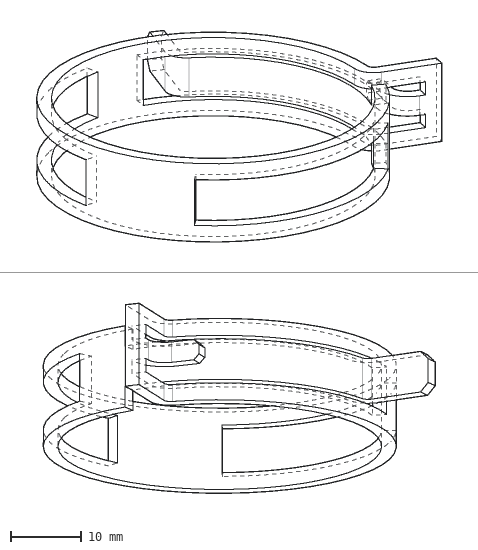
import cadquery as cq
import math


outer_radius = 25.1
thickness = 2.1
inner_radius = outer_radius - thickness
band_height = 12.0

end_angle = 38.3
window_end_angle = 18.3
window_front_angle = -70.0

slot_height = 7.0
tongue_height = 6.0

bend_start_angle = 55.3
tab_angle = 48.0
bend_radius = 1.0
tab_length = 9.2
slot_end_margin = 2.5
tongue_chamfer = 1.25

hook_width = 3.0
hook_bend_radius = 2.5
hook_bend_start = 3.4
hook_reach = 6.775
hook_chamfer = 0.8


def polar(radius, angle, center=(0.0, 0.0)):
    """Point at a radius and an angle in degrees around a center."""
    a = math.radians(angle)
    return (center[0] + radius * math.cos(a), center[1] + radius * math.sin(a))


def extrude_centered(sketch, height):
    return sketch.extrude(height / 2, both=True)


def ring_sector(start, end, height):
    """Piece of the ring running counterclockwise from start to end."""
    middle = (start + end) / 2
    sketch = (
        cq.Workplane("XY")
        .moveTo(*polar(outer_radius, start))
        .threePointArc(polar(outer_radius, middle), polar(outer_radius, end))
        .lineTo(*polar(inner_radius, end))
        .threePointArc(polar(inner_radius, middle), polar(inner_radius, start))
        .close()
    )
    return extrude_centered(sketch, height)


bend_center = polar(outer_radius + bend_radius, bend_start_angle)
bend_end_angle = tab_angle - 90
bend_middle_angle = (bend_start_angle - 180 + bend_end_angle) / 2
bend_inside_end = polar(bend_radius, bend_end_angle, bend_center)
tab_tip = polar(tab_length, tab_angle, bend_inside_end)


def bent_strip(start, length, height):
    """Strip following the ring clockwise from the start angle, bent outwards into a +X tab."""
    middle = (start + bend_start_angle) / 2
    bend_outer_radius = bend_radius + thickness
    bend_outside_end = polar(bend_outer_radius, bend_end_angle, bend_center)
    sketch = (
        cq.Workplane("XY")
        .moveTo(*polar(outer_radius, start))
        .threePointArc(polar(outer_radius, middle), polar(outer_radius, bend_start_angle))
        .threePointArc(polar(bend_radius, bend_middle_angle, bend_center), bend_inside_end)
        .lineTo(*polar(length, tab_angle, bend_inside_end))
        .lineTo(*polar(length, tab_angle, bend_outside_end))
        .lineTo(*bend_outside_end)
        .threePointArc(
            polar(bend_outer_radius, bend_middle_angle, bend_center),
            polar(inner_radius, bend_start_angle),
        )
        .threePointArc(polar(inner_radius, middle), polar(inner_radius, start))
        .close()
    )
    return extrude_centered(sketch, height)


tip_plane = cq.Plane(
    origin=(*tab_tip, 0),
    xDir=(*polar(1.0, tab_angle), 0),
    normal=(0, 0, 1),
)


def chamfer_tip(strip, tip_middle, height, size):
    """Chamfer both corners of a strip end; tip_middle is given in the tip frame."""
    for side in (1, -1):
        corner = tip_plane.toWorldCoords((*tip_middle, side * height / 2))
        strip = strip.edges(cq.selectors.NearestToPointSelector(corner.toTuple())).chamfer(size)
    return strip


def make_body():
    """Full-height strip around the ring, with a window on each flank and a forked end."""
    body = bent_strip(360 + end_angle, tab_length, band_height)
    window = ring_sector(window_front_angle, window_end_angle, slot_height)
    slot = bent_strip(180 - end_angle, tab_length - slot_end_margin, slot_height)
    return body.cut(window).cut(window.mirror("YZ")).cut(slot)


def make_tongue():
    """Narrow strip lying in the slot, bent into the -X tab with chamfered tip corners."""
    strip = bent_strip(180 - end_angle, tab_length, tongue_height)
    strip = chamfer_tip(strip, (0, -thickness / 2), tongue_height, tongue_chamfer)
    return strip.mirror("YZ")


def make_hook():
    """Hook running back from the slot end, then bending square to the tab."""
    slot_end = -slot_end_margin
    hook_bend_x = -hook_bend_start
    hook_bend_center = (hook_bend_x, hook_bend_radius)
    hook_outer_radius = hook_bend_radius + thickness
    inside_x = hook_bend_x - hook_bend_radius
    outside_x = inside_x - thickness
    middle_angle = 225
    sketch = (
        cq.Workplane(tip_plane)
        .moveTo(slot_end, -thickness)
        .lineTo(slot_end, 0)
        .lineTo(hook_bend_x, 0)
        .threePointArc(
            polar(hook_bend_radius, middle_angle, hook_bend_center),
            (inside_x, hook_bend_radius),
        )
        .lineTo(inside_x, hook_reach)
        .lineTo(outside_x, hook_reach)
        .lineTo(outside_x, hook_bend_radius)
        .threePointArc(
            polar(hook_outer_radius, middle_angle, hook_bend_center),
            (hook_bend_x, -thickness),
        )
        .close()
    )
    hook = extrude_centered(sketch, hook_width)
    tip_middle_x = inside_x - thickness / 2
    return chamfer_tip(hook, (tip_middle_x, hook_reach), hook_width, hook_chamfer)


result = make_body().union(make_tongue()).union(make_hook())